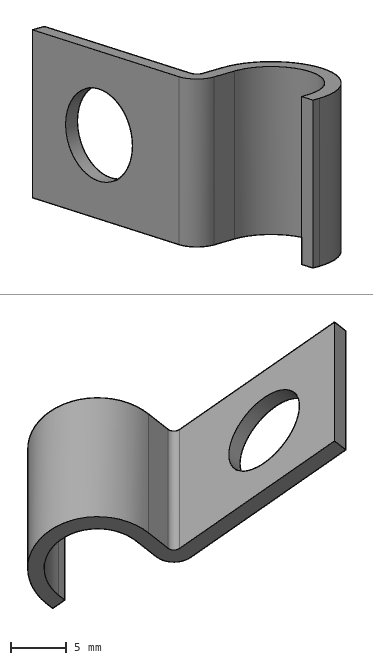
import cadquery as cq

length = 32.45
depth = 11.05
width = 15.87
thickness = 1.5
loop_radius = 6.3
bend_inner_radius = 0.75
tip_length = 0.8
hole_diameter = 8.7
hole_x = 8.7

loop_inner_radius = loop_radius - thickness
bend_outer_radius = bend_inner_radius + thickness
loop_x = length - loop_radius
loop_y = depth - loop_radius
wall_outer_x = loop_x - loop_radius
wall_inner_x = wall_outer_x + thickness
bend_x = wall_inner_x - bend_outer_radius
tip_y = loop_y - tip_length


def bent_strip():
    """Constant-thickness strip profile, extruded along Z."""
    return (
        cq.Workplane("XY")
        .lineTo(bend_x, 0)
        .radiusArc((wall_inner_x, bend_outer_radius), -bend_outer_radius)
        .lineTo(wall_inner_x, loop_y)
        .threePointArc(
            (loop_x, loop_y + loop_inner_radius),
            (loop_x + loop_inner_radius, loop_y),
        )
        .lineTo(loop_x + loop_inner_radius, tip_y)
        .lineTo(length, tip_y)
        .lineTo(length, loop_y)
        .threePointArc((loop_x, depth), (wall_outer_x, loop_y))
        .lineTo(wall_outer_x, bend_outer_radius)
        .radiusArc((bend_x, thickness), bend_inner_radius)
        .lineTo(0, thickness)
        .close()
        .extrude(width)
    )


def screw_hole():
    """Cylinder that passes through the flat along Y."""
    return (
        cq.Workplane("XZ")
        .center(hole_x, width / 2)
        .circle(hole_diameter / 2)
        .extrude(-thickness)
    )


result = bent_strip().cut(screw_hole())